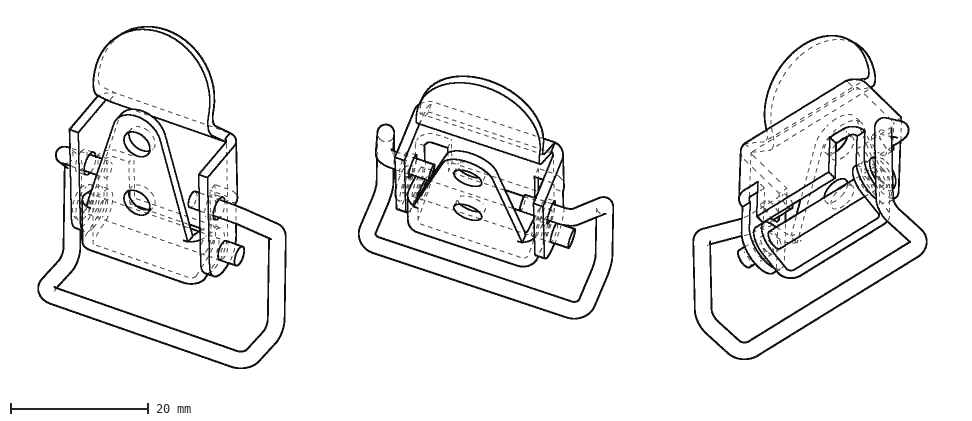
import cadquery as cq
import math


sheet = 1.5
inner_bend = 0.8
outer_bend = inner_bend + sheet

lever_tilt = 2.0
lever_half_width = 11.5
wall_half_depth = 4.0
wall_top = 16.95
web_bottom = 6.0
web_back = wall_half_depth + outer_bend
web_front = web_back - sheet
tongue_half_width = 6.75
tongue_bottom = -2.0
handle_half_width = 9.55
handle_lean_out = 43.0
handle_lean_back = 20.0
handle_slope_length = 7.95
handle_paddle_length = 11.85
handle_bend_inner = 3.0
bail_hole_radius = 1.75
bail_hole_y = -0.85
bail_hole_z = 8.65

base_half_width = lever_half_width - sheet
base_front = -5.05
base_half_height = 3.95
base_flange_radius = 3.0
base_taper_angle = 15.0
base_top_radius = 4.0
base_top_centre_z = 20.1
base_hole_radius = 2.15
base_hole_heights = (7.95, 18.85)

pin_radius = 1.5
pin_tail_end = 14.25
pin_head_radius = 2.75
pin_head_height = 0.95

wire_diameter = 2.5
wire_radius = wire_diameter / 2
wire_bend = 2.0
bail_tilt = 1.4
bail_outer_half_width = 18.25
bail_half_width = bail_outer_half_width - wire_radius
bail_end_x = 7.05
bail_shoulder_x = 14.5
bail_elbow_y = 6.45
bail_elbow_z = 0.9
bail_leg_length = 17.85
bail_foot_length = 9.0


def block(x_half, y_min, y_max, z_min, z_max):
    """Box centred on X = 0 between the given Y and Z limits."""
    size = (2 * x_half, y_max - y_min, z_max - z_min)
    return cq.Workplane("XY").box(*size, centered=(True, False, False)).translate((0, y_min, z_min))


def rod_along_x(radius, x_min, x_max, y=0.0, z=0.0):
    """Cylinder parallel to the hinge axis."""
    return cq.Workplane("YZ", origin=(x_min, y, z)).circle(radius).extrude(x_max - x_min)


def bent_web(half_width, bend_y, side, z_min, z_max):
    """Sheet web with a quarter bend at each end; it lies on the +Y or -Y side of the bend lines."""
    straight = half_width - outer_bend
    outer_middle = outer_bend * math.sqrt(0.5)
    inner_middle = inner_bend * math.sqrt(0.5)
    return (
        cq.Workplane("XY", origin=(0, bend_y, z_min))
        .moveTo(-half_width, 0)
        .threePointArc((-straight - outer_middle, side * outer_middle), (-straight, side * outer_bend))
        .lineTo(straight, side * outer_bend)
        .threePointArc((straight + outer_middle, side * outer_middle), (half_width, 0))
        .lineTo(half_width - sheet, 0)
        .threePointArc((straight + inner_middle, side * inner_middle), (straight, side * inner_bend))
        .lineTo(-straight, side * inner_bend)
        .threePointArc((-straight - inner_middle, side * inner_middle), (sheet - half_width, 0))
        .close()
        .extrude(z_max - z_min)
    )


def lever_walls():
    """Two side walls, each rounded about the hinge at its lower end."""
    slab = block(lever_half_width, -wall_half_depth, wall_half_depth, 0, wall_top)
    slab = slab.union(rod_along_x(wall_half_depth, -lever_half_width, lever_half_width))
    gap = block(base_half_width, -wall_half_depth, wall_half_depth, -wall_half_depth, wall_top)
    return slab.cut(gap)


def lever_handle():
    """Finger tab: leans forward from the web top, then bends back into a round paddle."""
    out = math.radians(handle_lean_out)
    back = math.radians(handle_lean_back)
    slope_dir = cq.Vector(0, -math.sin(out), math.cos(out))
    paddle_dir = cq.Vector(0, math.sin(back), math.cos(back))
    paddle_front = cq.Vector(0, -math.cos(back), math.sin(back))

    root = cq.Vector(0, web_back, wall_top)
    knee = root + slope_dir * handle_slope_length
    tip = knee + paddle_dir * handle_paddle_length
    root_mitre = sheet * math.tan(out / 2)
    knee_mitre = sheet * math.tan((out + back) / 2)
    front_root = root + cq.Vector(0, -sheet, -root_mitre)
    front_tip = tip + paddle_front * sheet
    front_knee = knee + paddle_front * sheet - paddle_dir * knee_mitre

    outline = [(p.y, p.z) for p in (root, knee, tip, front_tip, front_knee, front_root)]
    strip = cq.Workplane("YZ").polyline(outline).close().extrude(handle_half_width, both=True)

    def knee_edge(point):
        return cq.selectors.NearestToPointSelector((0, point.y, point.z))

    strip = strip.edges(knee_edge(knee)).fillet(handle_bend_inner)
    strip = strip.edges(knee_edge(front_knee)).fillet(handle_bend_inner + sheet)

    paddle_plane = cq.Plane(
        origin=(tip - paddle_dir * handle_half_width).toTuple(),
        xDir=(1, 0, 0),
        normal=paddle_front.toTuple(),
    )
    reach = 2 * handle_paddle_length
    rounded = (
        cq.Workplane(paddle_plane)
        .moveTo(-handle_half_width, -reach)
        .lineTo(handle_half_width, -reach)
        .lineTo(handle_half_width, 0)
        .threePointArc((0, handle_half_width), (-handle_half_width, 0))
        .close()
        .extrude(reach, both=True)
    )
    return strip.intersect(rounded)


def make_lever():
    web = bent_web(lever_half_width, wall_half_depth, 1, web_bottom, wall_top)
    tongue = block(tongue_half_width, web_front, web_back, tongue_bottom, web_bottom)
    lever = web.union(lever_walls()).union(tongue).union(lever_handle())
    lever = lever.cut(rod_along_x(pin_radius, -lever_half_width, lever_half_width))
    lever = lever.cut(
        rod_along_x(bail_hole_radius, -lever_half_width, lever_half_width, bail_hole_y, bail_hole_z)
    )
    return lever.rotate((0, 0, 0), (1, 0, 0), lever_tilt)


def base_plate():
    """Tapered tongue of the base, rounded at the top."""
    taper = math.radians(base_taper_angle)
    tangent_x = base_top_radius * math.cos(taper)
    tangent_z = base_top_centre_z + base_top_radius * math.sin(taper)
    foot_x = tangent_x + (tangent_z - base_half_height) * math.tan(taper)
    return (
        cq.Workplane("XZ", origin=(0, base_front + sheet, 0))
        .moveTo(-foot_x, base_half_height)
        .lineTo(foot_x, base_half_height)
        .lineTo(tangent_x, tangent_z)
        .threePointArc((0, base_top_centre_z + base_top_radius), (-tangent_x, tangent_z))
        .close()
        .extrude(sheet)
    )


def base_flanges():
    """Side ears that narrow from the bends to a round end about the hinge."""
    root_y = base_front + outer_bend
    root_distance = math.hypot(root_y, base_half_height)
    root_angle = math.atan2(base_half_height, root_y)
    tangent_angle = root_angle - math.acos(base_flange_radius / root_distance)
    tangent_y = base_flange_radius * math.cos(tangent_angle)
    tangent_z = base_flange_radius * math.sin(tangent_angle)
    ears = (
        cq.Workplane("YZ")
        .moveTo(root_y, -base_half_height)
        .lineTo(tangent_y, -tangent_z)
        .threePointArc((base_flange_radius, 0), (tangent_y, tangent_z))
        .lineTo(root_y, base_half_height)
        .close()
        .extrude(base_half_width, both=True)
    )
    gap = block(base_half_width - sheet, root_y, base_flange_radius, -base_half_height, base_half_height)
    return ears.cut(gap)


def make_base():
    web = bent_web(base_half_width, base_front + outer_bend, -1, -base_half_height, base_half_height)
    base = web.union(base_flanges()).union(base_plate())
    base = base.cut(rod_along_x(pin_radius, -base_half_width, base_half_width))
    holes = (
        cq.Workplane("XZ", origin=(0, base_front + sheet, 0))
        .pushPoints([(0, z) for z in base_hole_heights])
        .circle(base_hole_radius)
        .extrude(sheet)
    )
    return base.cut(holes)


def make_pin():
    """Plain pin with a rounded flat head on the -X side."""
    shank = rod_along_x(pin_radius, -lever_half_width, pin_tail_end)
    flat_radius = pin_head_radius - pin_head_height
    head_face = -lever_half_width - pin_head_height
    diagonal = pin_head_height * math.sqrt(0.5)
    head = (
        cq.Workplane("XY")
        .moveTo(-lever_half_width, 0)
        .lineTo(-lever_half_width, pin_head_radius)
        .threePointArc((-lever_half_width - diagonal, flat_radius + diagonal), (head_face, flat_radius))
        .lineTo(head_face, 0)
        .close()
        .revolve(360, (0, 0, 0), (1, 0, 0))
    )
    return shank.union(head)


def rounded_path(corners, radius):
    """Path through the corners with each intermediate corner replaced by a tangent arc."""
    edges = []
    start = corners[0]
    for before, corner, after in zip(corners, corners[1:], corners[2:]):
        to_before = (before - corner).normalized()
        to_after = (after - corner).normalized()
        half_angle = to_before.getAngle(to_after) / 2
        setback = radius / math.tan(half_angle)
        arc_start = corner + to_before * setback
        arc_end = corner + to_after * setback
        bisector = (to_before + to_after).normalized()
        arc_middle = corner + bisector * (radius / math.sin(half_angle) - radius)
        edges.append(cq.Edge.makeLine(start, arc_start))
        edges.append(cq.Edge.makeThreePointArc(arc_start, arc_middle, arc_end))
        start = arc_end
    edges.append(cq.Edge.makeLine(start, corners[-1]))
    return cq.Wire.assembleEdges(edges)


def make_bail():
    """Wire loop whose two ends sit in the lever's bail holes."""
    swing = math.radians(lever_tilt)
    pivot_y = bail_hole_y * math.cos(swing) - bail_hole_z * math.sin(swing)
    pivot_z = bail_hole_y * math.sin(swing) + bail_hole_z * math.cos(swing)
    tilt = math.radians(bail_tilt)
    ankle_y = bail_elbow_y - bail_leg_length * math.sin(tilt)
    ankle_z = bail_elbow_z - bail_leg_length * math.cos(tilt)
    toe_y = ankle_y - bail_foot_length * math.cos(tilt)
    toe_z = ankle_z + bail_foot_length * math.sin(tilt)

    half = [
        (bail_end_x, pivot_y, pivot_z),
        (bail_shoulder_x, pivot_y, pivot_z),
        (bail_half_width, bail_elbow_y, bail_elbow_z),
        (bail_half_width, ankle_y, ankle_z),
        (bail_half_width, toe_y, toe_z),
    ]
    right_side = [cq.Vector(x, y, z) for x, y, z in half]
    left_side = [cq.Vector(-x, y, z) for x, y, z in reversed(half)]
    path = rounded_path(right_side + left_side, wire_bend)
    return cq.Workplane("YZ", origin=half[0]).circle(wire_radius).sweep(cq.Workplane(path))


base = make_base()
lever = make_lever()
pin = make_pin()
bail = make_bail()

result = cq.Compound.makeCompound([base.val(), lever.val(), pin.val(), bail.val()])